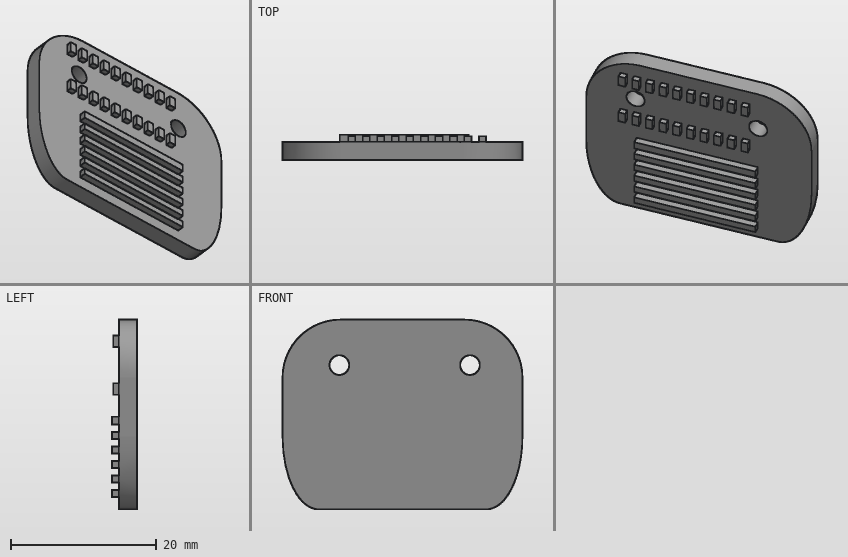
import cadquery as cq

plate_width = 33.1
plate_height = 26.18
plate_thickness = 2.5
top_corner_radius = 8.0
bottom_corner_width = 5.0
bottom_corner_height = 10.05

hole_diameter = 2.68
hole_spacing = 18.0
hole_pair_x = 0.3
hole_z = 19.9

pad_count = 10
pad_row_span = 18.0
pad_pitch = pad_row_span / (pad_count - 1)
pad_width = 1.0
pad_height = 1.62
pad_depth = 0.8
pad_row_spacing = 6.6
pad_row_x = 2.02

bar_count = 6
bar_stack_span = 10.0
bar_pitch = bar_stack_span / (bar_count - 1)
bar_length = 17.8
bar_height = 1.0
top_bar_height = 1.13
bar_depth = 1.0
bar_x = 0.23
lowest_bar_z = 1.7

half_width = plate_width / 2


def raised_block(length, depth, height, center_x, bottom_z):
    """Rectangular block standing on the back (+Y) face of the plate."""
    return (
        cq.Workplane("XY")
        .box(length, depth, height, centered=(True, False, False))
        .translate((center_x, plate_thickness, bottom_z))
    )


def make_plate():
    """Plate with round upper corners and elliptical lower corners."""
    bottom_flat_end = half_width - bottom_corner_width
    corner_radii = (bottom_corner_width, bottom_corner_height)
    return (
        cq.Workplane("XZ")
        .moveTo(-bottom_flat_end, 0)
        .lineTo(bottom_flat_end, 0)
        .ellipseArc(*corner_radii, angle1=270, angle2=360)
        .lineTo(half_width, plate_height)
        .lineTo(-half_width, plate_height)
        .lineTo(-half_width, bottom_corner_height)
        .ellipseArc(*corner_radii, angle1=180, angle2=270)
        .close()
        .extrude(-plate_thickness)
        .edges("|Y and >Z")
        .fillet(top_corner_radius)
    )


def make_holes():
    """Cylinders that cut the two through holes."""
    hole_centers = [(hole_pair_x + side * hole_spacing / 2, hole_z) for side in (-1, 1)]
    return cq.Workplane("XZ").pushPoints(hole_centers).circle(hole_diameter / 2).extrude(-plate_thickness)


def add_pads(body):
    """Both pad rows, placed symmetrically about the hole line."""
    first_pad_x = pad_row_x - pad_row_span / 2
    for side in (-1, 1):
        pad_bottom_z = hole_z + side * pad_row_spacing / 2 - pad_height / 2
        for column in range(pad_count):
            pad_x = first_pad_x + column * pad_pitch
            body = body.union(raised_block(pad_width, pad_depth, pad_height, pad_x, pad_bottom_z))
    return body


def add_bars(body):
    """Evenly pitched bars, stacked upward from the lowest one."""
    for row in range(bar_count):
        height = top_bar_height if row == bar_count - 1 else bar_height
        bottom_z = lowest_bar_z + row * bar_pitch
        body = body.union(raised_block(bar_length, bar_depth, height, bar_x, bottom_z))
    return body


plate = make_plate().cut(make_holes())
result = add_bars(add_pads(plate))